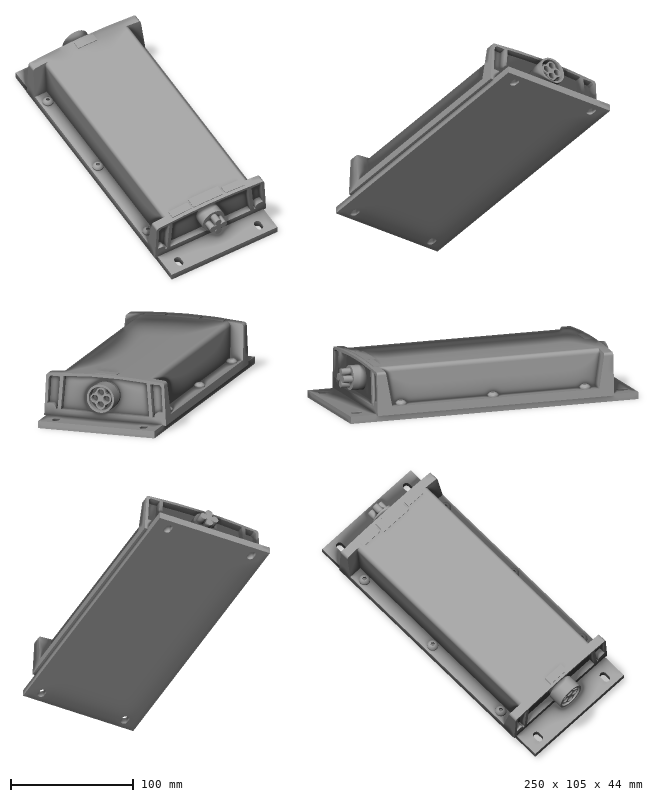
import cadquery as cq
import math

PLATE_LENGTH = 250.0
PLATE_WIDTH = 100.0
PLATE_HEIGHT = 6.0
SLOT_LENGTH = 9.5
SLOT_WIDTH = 5.8
SLOT_X = 115.5
SLOT_Y = 37.8

BODY_X = -0.2
BODY_LENGTH = 205.5
BODY_WIDTH = 105.0
BODY_BOTTOM = 5.2
SHOULDER_Z = 40.8
SHOULDER_HALF_WIDTH = 50.8
CROWN_Z = 43.5
SHOULDER_FILLET = 2.5

LEDGE_Z = 12.0
RECESS_BOTTOM_HALF = 90.0
RECESS_TOP_HALF = 95.0
RECESS_WALL_BOTTOM_Y = 41.0
RECESS_WALL_TOP_Y = 39.5
RECESS_EDGE_FILLET = 4.0

POCKET_DEPTH = 5.5
POCKET_Z = 11.2
PANEL_BOTTOM_HALF = 38.0
PANEL_TOP_HALF = 35.8
PANEL_SIDE_Z = 39.8
PANEL_CROWN_Z = 41.2
CORNER_INNER_BOTTOM_Y = 41.0
CORNER_INNER_TOP_Y = 38.8
CORNER_STEM_Y = 42.5
CORNER_ARC_Y = 45.2
CORNER_STEP_Z = 15.8
CORNER_OUTER_BOTTOM_Y = 49.5
CORNER_OUTER_TOP_Y = 48.5
CORNER_TOP_Z = 39.0
CORNER_CHAMFER = 1.8

PAD_RISE = 0.5
PAD_TOP_Z = CROWN_Z + PAD_RISE
LEFT_PAD = (-97.2, 0.0, 7.0, 18.0)
RIGHT_PAD = (94.8, 0.0, 9.5, 28.2)
SIDE_PAD_X = 96.0
SIDE_PAD_Y = 25.0

SCREW_PITCH = 80.0
SCREW_Y = 45.8
SCREW_RADIUS = 4.5
SCREW_TOP_RADIUS = 2.2
SCREW_RIM_Z = 13.2
SCREW_TOP_Z = 15.2
DOME_BULGE = 0.6
SOCKET_SIZE = 3.5
SOCKET_DEPTH = 2.2

CONNECTOR_Z = 26.5
CONNECTOR_TILT = 2.0
CONTACT_OFFSET = 5.0
SLEEVE_TIP = 114.8
SLEEVE_LENGTH = 12.2
SLEEVE_RADIUS = 11.8
SLEEVE_BORE_RADIUS = 10.0
SLEEVE_BORE_DEPTH = 7.5
NECK_RADIUS = 10.0
NECK_LENGTH = 3.0
REAR_FLANGE_RADIUS = 11.2
INSERT_RADIUS = 4.0
INSERT_SETBACK = 0.8
CONTACT_RADIUS = 2.8
CONTACT_DEPTH = 5.0
CONTACT_BORE_RADIUS = 0.8
PLUG_TIP = 115.2
PLUG_LENGTH = 7.8
PLUG_CONTACT_RADIUS = 3.0
PLUG_FLANGE_RADIUS = 10.2

BODY_LEFT = BODY_X - BODY_LENGTH / 2
BODY_RIGHT = BODY_X + BODY_LENGTH / 2
EMBED = 2.5


def mounting_plate():
    plate = cq.Workplane("XY").box(PLATE_LENGTH, PLATE_WIDTH, PLATE_HEIGHT, centered=(True, True, False))
    slots = [(sx * SLOT_X, sy * SLOT_Y) for sx in (-1, 1) for sy in (-1, 1)]
    return plate.faces(">Z").workplane().pushPoints(slots).slot2D(SLOT_LENGTH, SLOT_WIDTH).cutThruAll()


def crowned_profile(rise):
    """Housing cross-section in YZ with the crown lifted by rise."""
    return (
        cq.Workplane("YZ", origin=(BODY_LEFT, 0, 0))
        .moveTo(-BODY_WIDTH / 2, BODY_BOTTOM)
        .lineTo(BODY_WIDTH / 2, BODY_BOTTOM)
        .lineTo(SHOULDER_HALF_WIDTH, SHOULDER_Z + rise)
        .threePointArc((0, CROWN_Z + rise), (-SHOULDER_HALF_WIDTH, SHOULDER_Z + rise))
        .close()
        .extrude(BODY_LENGTH)
    )


def side_recess():
    """Recess on the -Y side: sloped ends, a drafted back wall, open outwards and upwards."""
    end_slope = (RECESS_TOP_HALF - RECESS_BOTTOM_HALF) / (SHOULDER_Z - LEDGE_Z)
    open_top_half = RECESS_BOTTOM_HALF + end_slope * (PAD_TOP_Z - LEDGE_Z)
    wall_slope = (RECESS_WALL_BOTTOM_Y - RECESS_WALL_TOP_Y) / (SHOULDER_Z - LEDGE_Z)
    wall_open_y = RECESS_WALL_BOTTOM_Y - wall_slope * (PAD_TOP_Z - LEDGE_Z)
    ends = (
        cq.Workplane("XZ", origin=(BODY_X, 0, 0))
        .polyline([
            (-RECESS_BOTTOM_HALF, LEDGE_Z),
            (RECESS_BOTTOM_HALF, LEDGE_Z),
            (open_top_half, PAD_TOP_Z),
            (-open_top_half, PAD_TOP_Z),
        ])
        .close()
        .extrude(BODY_WIDTH)
    )
    wall = (
        cq.Workplane("YZ", origin=(BODY_LEFT, 0, 0))
        .polyline([
            (-BODY_WIDTH, LEDGE_Z),
            (-RECESS_WALL_BOTTOM_Y, LEDGE_Z),
            (-wall_open_y, PAD_TOP_Z),
            (-BODY_WIDTH, PAD_TOP_Z),
        ])
        .close()
        .extrude(BODY_LENGTH)
    )
    return ends.intersect(wall)


def pocket_plane():
    """Plane on the left end face; local x runs along -Y and local y along Z."""
    return cq.Workplane(cq.Plane((BODY_LEFT, 0, 0), xDir=(0, -1, 0), normal=(-1, 0, 0)))


def end_pockets():
    """The wide panel pocket and two corner pockets of the left end, with floors square to the connector."""
    top_depth = POCKET_DEPTH + (CROWN_Z - POCKET_Z) * math.tan(math.radians(CONNECTOR_TILT))
    panel = (
        pocket_plane()
        .moveTo(-PANEL_BOTTOM_HALF, POCKET_Z)
        .lineTo(PANEL_BOTTOM_HALF, POCKET_Z)
        .lineTo(PANEL_TOP_HALF, PANEL_SIDE_Z)
        .threePointArc((0, PANEL_CROWN_Z), (-PANEL_TOP_HALF, PANEL_SIDE_Z))
        .close()
        .extrude(-top_depth)
    )
    arc_drop = CORNER_STEP_Z - POCKET_Z
    arc_run = CORNER_ARC_Y - CORNER_STEM_Y
    arc_middle = (CORNER_ARC_Y - arc_run * math.sqrt(0.5), POCKET_Z + arc_drop * math.sqrt(0.5))
    corner = (
        pocket_plane()
        .moveTo(CORNER_INNER_BOTTOM_Y, POCKET_Z)
        .lineTo(CORNER_STEM_Y, POCKET_Z)
        .threePointArc(arc_middle, (CORNER_ARC_Y, CORNER_STEP_Z))
        .lineTo(CORNER_OUTER_BOTTOM_Y, CORNER_STEP_Z)
        .lineTo(CORNER_OUTER_TOP_Y, CORNER_TOP_Z - CORNER_CHAMFER)
        .lineTo(CORNER_OUTER_TOP_Y - CORNER_CHAMFER, CORNER_TOP_Z)
        .lineTo(CORNER_INNER_TOP_Y, CORNER_TOP_Z)
        .close()
        .extrude(-top_depth)
    )
    floor_wedge = (
        cq.Workplane("XZ")
        .polyline([
            (BODY_LEFT, POCKET_Z),
            (BODY_LEFT + POCKET_DEPTH, POCKET_Z),
            (BODY_LEFT + top_depth, CROWN_Z),
            (BODY_LEFT, CROWN_Z),
        ])
        .close()
        .extrude(BODY_WIDTH / 2, both=True)
    )
    return panel.union(corner).union(corner.mirror("XZ")).intersect(floor_wedge)


def label_pads():
    """Thin pads that follow the crown."""
    pads = [LEFT_PAD, RIGHT_PAD]
    for side in (-1, 1):
        pads.append((SIDE_PAD_X, side * SIDE_PAD_Y, LEFT_PAD[2], LEFT_PAD[3]))
    columns = cq.Workplane("XY")
    for x, y, length, width in pads:
        column = cq.Workplane("XY", origin=(x, y, PANEL_CROWN_Z)).rect(length, width)
        column = column.extrude(PAD_TOP_Z - PANEL_CROWN_Z + EMBED)
        columns = columns.union(column)
    return columns.intersect(crowned_profile(PAD_RISE))


def housing():
    body = crowned_profile(0)
    body = body.edges("|X and (not <Z)").fillet(SHOULDER_FILLET)
    recess = side_recess()
    body = body.cut(recess).cut(recess.mirror("XZ"))
    for side in (-1, 1):
        crest = cq.selectors.NearestToPointSelector((BODY_X, side * RECESS_WALL_TOP_Y, CROWN_Z))
        body = body.edges("|X").edges(crest).fillet(RECESS_EDGE_FILLET)
    pockets = end_pockets()
    other_end = pockets.translate((-BODY_X, 0, 0)).mirror("YZ").translate((BODY_X, 0, 0))
    return body.cut(pockets).cut(other_end).union(label_pads())


def screw():
    """Button head screw standing on the ledge."""
    arc_middle = (
        SCREW_TOP_RADIUS + (SCREW_RADIUS - SCREW_TOP_RADIUS) * DOME_BULGE,
        SCREW_RIM_Z + (SCREW_TOP_Z - SCREW_RIM_Z) * DOME_BULGE,
    )
    head = (
        cq.Workplane("XZ")
        .moveTo(0, PLATE_HEIGHT)
        .lineTo(SCREW_RADIUS, PLATE_HEIGHT)
        .lineTo(SCREW_RADIUS, SCREW_RIM_Z)
        .threePointArc(arc_middle, (SCREW_TOP_RADIUS, SCREW_TOP_Z))
        .lineTo(0, SCREW_TOP_Z)
        .close()
        .revolve(360, (0, 0, 0), (0, 1, 0))
    )
    socket = cq.Workplane("XY", origin=(0, 0, SCREW_TOP_Z)).polygon(6, SOCKET_SIZE).extrude(-SOCKET_DEPTH)
    return head.cut(socket)


def connector_plane(side, tip):
    """Tilted plane at a connector tip, facing outwards; side is -1 for -X and 1 for +X."""
    tilt = math.radians(CONNECTOR_TILT)
    outward = (side * math.cos(tilt), 0, math.sin(tilt))
    return cq.Workplane(cq.Plane((side * tip, 0, CONNECTOR_Z), xDir=(0, 1, 0), normal=outward))


CONTACTS = [(CONTACT_OFFSET, 0), (0, CONTACT_OFFSET), (-CONTACT_OFFSET, 0), (0, -CONTACT_OFFSET)]


def socket_connector():
    """Sleeve on the left end with a four-lobed contact insert."""
    face = connector_plane(-1, SLEEVE_TIP)
    rear = SLEEVE_TIP + BODY_LEFT + POCKET_DEPTH + EMBED
    sleeve = face.circle(SLEEVE_RADIUS).extrude(-SLEEVE_LENGTH)
    sleeve = sleeve.cut(face.circle(SLEEVE_BORE_RADIUS).extrude(-SLEEVE_BORE_DEPTH))
    neck = face.workplane(offset=-SLEEVE_LENGTH).circle(NECK_RADIUS).extrude(-NECK_LENGTH)
    flange = face.workplane(offset=-SLEEVE_LENGTH - NECK_LENGTH).circle(REAR_FLANGE_RADIUS)
    flange = flange.extrude(-(rear - SLEEVE_LENGTH - NECK_LENGTH))
    insert_face = face.workplane(offset=-INSERT_SETBACK)
    insert = insert_face.rect(2 * CONTACT_OFFSET, 2 * CONTACT_OFFSET).extrude(-SLEEVE_BORE_DEPTH)
    for contact in CONTACTS:
        insert = insert.union(insert_face.center(*contact).circle(INSERT_RADIUS).extrude(-SLEEVE_BORE_DEPTH))
    insert = insert.cut(insert_face.pushPoints(CONTACTS).circle(CONTACT_RADIUS).extrude(-CONTACT_DEPTH))
    bores = insert_face.pushPoints(CONTACTS[::2]).circle(CONTACT_BORE_RADIUS).extrude(-SLEEVE_BORE_DEPTH)
    return sleeve.union(neck).union(flange).union(insert.cut(bores))


def plug_connector():
    """Flange on the right end with four clustered contact barrels."""
    face = connector_plane(1, PLUG_TIP)
    rear = PLUG_TIP - BODY_RIGHT + POCKET_DEPTH + EMBED
    plug = face.workplane(offset=-PLUG_LENGTH).circle(PLUG_FLANGE_RADIUS).extrude(-(rear - PLUG_LENGTH))
    core = face.rect(CONTACT_OFFSET, CONTACT_OFFSET).extrude(-PLUG_LENGTH)
    plug = plug.union(core)
    for contact in CONTACTS:
        plug = plug.union(face.center(*contact).circle(PLUG_CONTACT_RADIUS).extrude(-PLUG_LENGTH - EMBED))
    return plug


result = mounting_plate().union(housing())
for step in (-1, 0, 1):
    for side in (-1, 1):
        result = result.union(screw().translate((BODY_X + step * SCREW_PITCH, side * SCREW_Y, 0)))
result = result.union(socket_connector()).union(plug_connector())